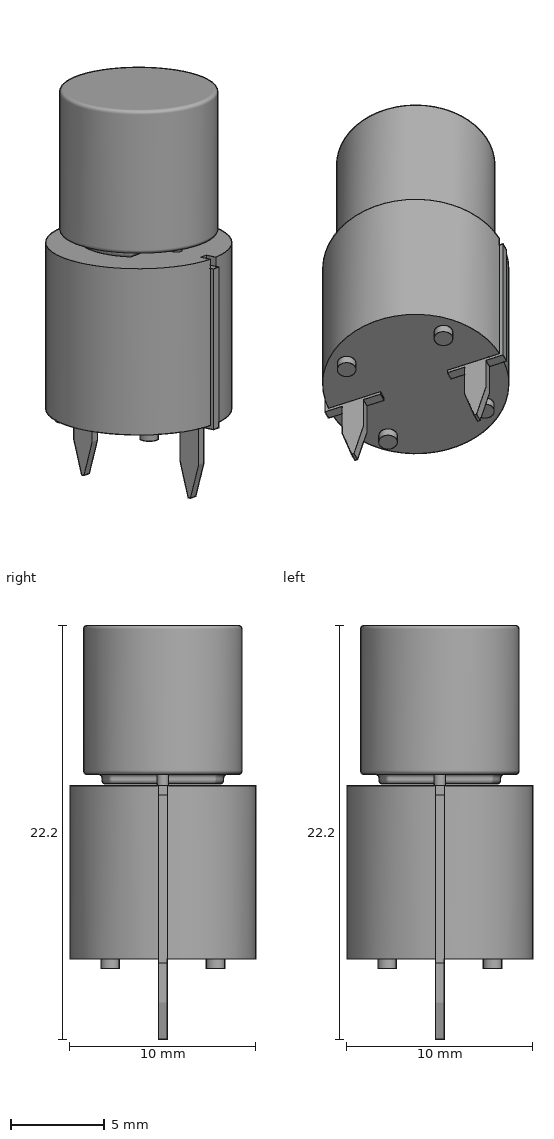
import cadquery as cq

TOTAL_HEIGHT = 22.2
CAP_HEIGHT = 8.0
CAP_GAP = 0.6
BASE_HEIGHT = 9.3
CAP_BOTTOM = TOTAL_HEIGHT - CAP_HEIGHT
BASE_TOP = CAP_BOTTOM - CAP_GAP
BASE_BOTTOM = BASE_TOP - BASE_HEIGHT

CAP_DIAMETER = 8.5
BASE_DIAMETER = 10.0
EDGE_ROUND = 0.2

PAD_DIAMETER = 6.53
PAD_WIDTH = 3.3
PAD_HEIGHT = 0.5

LEAD_DIAMETER = 0.62
LEAD_OFFSET = 2.53

PEG_DIAMETER = 1.0
PEG_CIRCLE_DIAMETER = 8.0
PEG_LENGTH = 0.5
PEG_COUNT = 4
FIRST_PEG_ANGLE = 45.0

TERMINAL_THICKNESS = 0.49
TERMINAL_OUTER = 5.2
SLOT_INNER = 4.35
TERMINAL_RECESS = 0.5
FOOT_INNER = 1.95
FOOT_HEIGHT = 0.2
BLADE_CENTER = 3.57
BLADE_WIDTH = 1.25
TIP_WIDTH = 0.15
TAPER_HEIGHT = 1.95
TERMINAL_TOP = BASE_TOP - TERMINAL_RECESS
FOOT_BOTTOM = BASE_BOTTOM - FOOT_HEIGHT


def make_cylinder(diameter, bottom, top):
    """Upright cylinder on the Z axis."""
    return cq.Workplane("XY").workplane(offset=bottom).circle(diameter / 2).extrude(top - bottom)


def make_cap():
    """Round cap with rounded rims and a two-flat pad blended into its underside."""
    cap = make_cylinder(CAP_DIAMETER, CAP_BOTTOM, TOTAL_HEIGHT).edges().fillet(EDGE_ROUND)
    pad_bottom = CAP_BOTTOM - PAD_HEIGHT
    flats = (
        cq.Workplane("XY")
        .workplane(offset=pad_bottom)
        .rect(PAD_WIDTH, PAD_DIAMETER)
        .extrude(PAD_HEIGHT)
    )
    pad = make_cylinder(PAD_DIAMETER, pad_bottom, CAP_BOTTOM).intersect(flats)
    pad = pad.edges("|Z").fillet(EDGE_ROUND)
    pad = pad.faces("<Z").edges().fillet(EDGE_ROUND)

    cap = cap.union(pad)
    reach = PAD_DIAMETER / 2
    joint = cq.selectors.BoxSelector(
        (-reach, -reach, CAP_BOTTOM - EDGE_ROUND / 2),
        (reach, reach, CAP_BOTTOM + EDGE_ROUND / 2),
    )
    return cap.edges(joint).fillet(EDGE_ROUND)


def make_leads():
    """Two round leads spanning the gap between base and cap."""
    return (
        cq.Workplane("XY")
        .workplane(offset=BASE_TOP)
        .pushPoints([(-LEAD_OFFSET, 0), (LEAD_OFFSET, 0)])
        .circle(LEAD_DIAMETER / 2)
        .extrude(CAP_GAP)
    )


def make_pegs():
    """Ring of locating pegs below the base."""
    return (
        cq.Workplane("XY")
        .workplane(offset=BASE_BOTTOM - PEG_LENGTH)
        .polarArray(PEG_CIRCLE_DIAMETER / 2, FIRST_PEG_ANGLE, 360, PEG_COUNT)
        .circle(PEG_DIAMETER / 2)
        .extrude(PEG_LENGTH)
    )


def make_slot(side):
    """Full-height slot in the base wall; side is -1 or +1 along X."""
    depth = TERMINAL_OUTER - SLOT_INNER
    middle = side * (TERMINAL_OUTER + SLOT_INNER) / 2
    return (
        cq.Workplane("XY")
        .workplane(offset=BASE_BOTTOM)
        .center(middle, 0)
        .rect(depth, TERMINAL_THICKNESS)
        .extrude(BASE_HEIGHT)
    )


def make_housing():
    """Slotted base with its pegs, joined to the cap through the leads."""
    housing = make_cylinder(BASE_DIAMETER, BASE_BOTTOM, BASE_TOP)
    for side in (-1, 1):
        housing = housing.cut(make_slot(side))
    return housing.union(make_pegs()).union(make_leads()).union(make_cap())


def make_terminal(side):
    """Upright strip in the slot, a foot under the base and a pointed blade."""
    blade_outer = BLADE_CENTER + BLADE_WIDTH / 2
    blade_inner = BLADE_CENTER - BLADE_WIDTH / 2
    outline = [
        (SLOT_INNER, TERMINAL_TOP),
        (TERMINAL_OUTER, TERMINAL_TOP),
        (TERMINAL_OUTER, FOOT_BOTTOM),
        (blade_outer, FOOT_BOTTOM),
        (blade_outer, TAPER_HEIGHT),
        (BLADE_CENTER + TIP_WIDTH / 2, 0),
        (BLADE_CENTER - TIP_WIDTH / 2, 0),
        (blade_inner, TAPER_HEIGHT),
        (blade_inner, FOOT_BOTTOM),
        (FOOT_INNER, FOOT_BOTTOM),
        (FOOT_INNER, BASE_BOTTOM),
        (SLOT_INNER, BASE_BOTTOM),
    ]
    return (
        cq.Workplane("XZ")
        .polyline([(side * x, z) for x, z in outline])
        .close()
        .extrude(TERMINAL_THICKNESS / 2, both=True)
    )


housing = make_housing().solids()
terminals = [make_terminal(side) for side in (-1, 1)]

result = cq.Compound.makeCompound([housing.val(), *[terminal.val() for terminal in terminals]])